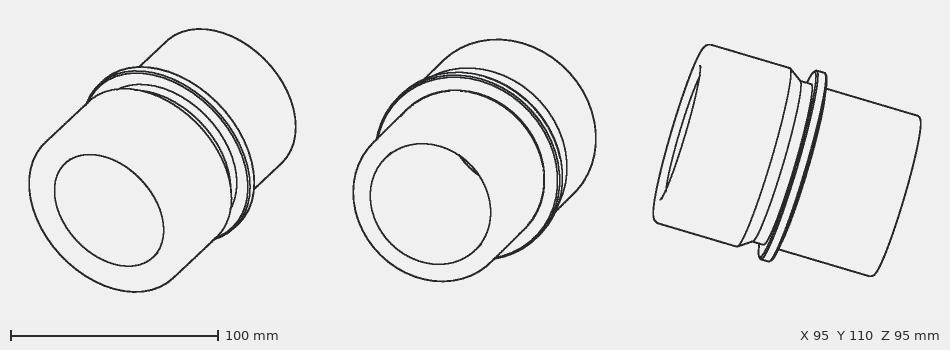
import cadquery as cq

length = 110.0
front_y = -length / 2
rear_y = front_y + length

head_radius = 45.0
body_radius = 40.5
flange_radius = 47.5
undercut_depth = 0.4

head_length = 42.5
taper_length = 6.5
neck_length = 5.6
flange_width = 5.5
undercut_width = 1.1

bore_radius = 31.0
bore_chamfer = 3.0
bore_mouth_round = 1.5
head_round = 3.1
body_round = 2.1
flange_edge_chamfer = 0.8

taper_start_y = front_y + head_length
neck_start_y = taper_start_y + taper_length
flange_front_y = neck_start_y + neck_length
flange_rear_y = flange_front_y + flange_width
undercut_end_y = flange_rear_y + undercut_width


def cylinder(radius, start_y, end_y):
    """Solid cylinder about the Y axis between two stations."""
    plane = cq.Workplane("XZ", origin=(0, start_y, 0))
    return plane.circle(radius).extrude(start_y - end_y)


def head():
    """Large front cylinder with a rounded front rim and a conical step to the neck."""
    barrel = cylinder(head_radius, front_y, taper_start_y).faces("<Y").edges().fillet(head_round)
    profile = [
        (0, taper_start_y),
        (head_radius, taper_start_y),
        (body_radius, neck_start_y),
        (0, neck_start_y),
    ]
    taper = cq.Workplane("XY").polyline(profile).close().revolve(360, (0, 0, 0), (0, 1, 0))
    return barrel.union(taper)


def flange():
    """Thin locating collar with both outer edges broken."""
    return cylinder(flange_radius, flange_front_y, flange_rear_y).edges().chamfer(flange_edge_chamfer)


def rear_body():
    """Rear cylinder, relieved next to the flange and rounded at its end."""
    undercut = cylinder(body_radius - undercut_depth, flange_rear_y, undercut_end_y)
    barrel = cylinder(body_radius, undercut_end_y, rear_y).faces(">Y").edges().fillet(body_round)
    return undercut.union(barrel)


neck = cylinder(body_radius, neck_start_y, flange_front_y)
outside = head().union(neck).union(flange()).union(rear_body())

bored = outside.cut(cylinder(bore_radius, front_y, rear_y))
mouth_chamfered = bored.faces("<Y").edges("%CIRCLE").edges(
    cq.selectors.RadiusNthSelector(0)
).chamfer(bore_chamfer)
result = mouth_chamfered.faces("<Y").edges("%CIRCLE").edges(
    cq.selectors.RadiusNthSelector(0)
).fillet(bore_mouth_round)